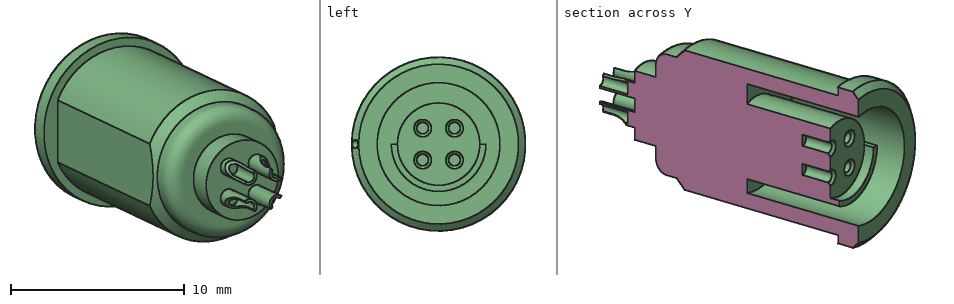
import cadquery as cq
import math

total_length = 18.5

flange_diameter = 10.0
flange_radius = flange_diameter / 2
flange_length = 1.48
flange_chamfer = 0.4
body_radius = 4.5
body_end = 12.43
width_across_flats = 8.2
collar_radius = 3.92
collar_end = 14.5
collar_fillet = 0.83
shoulder_end = body_end + body_radius - collar_radius

socket_radius = 3.53
socket_depth = 7.95

insert_radius = 2.37
insert_front = 2.0
insert_end = 16.0
key_radius = 2.72
key_front = 1.35

contact_pitch = 1.83
contact_radius = 0.5
contact_hole_radius = 0.33
contact_hole_depth = 2.0
contact_chamfer = contact_radius - contact_hole_radius
cup_radius = 0.33
cup_depth = 2.0
cup_flat_offset = -0.07
cup_flat_start = 17.8
cup_arc_radius = 1.9

dot_radius = 0.24


def cylinder(radius, start, end):
    """Round bar along X from start to end."""
    return cq.Workplane("YZ", origin=(start, 0, 0)).circle(radius).extrude(end - start)


def make_shell():
    flange = cylinder(flange_radius, 0, flange_length).faces("<X").chamfer(flange_chamfer)
    body = (
        cylinder(body_radius, 0, shoulder_end)
        .faces(">X")
        .chamfer(body_radius - collar_radius)
    )
    flats = cq.Workplane("XY").box(2 * total_length, width_across_flats, 2 * body_radius)
    collar = cylinder(collar_radius, body_end, collar_end).faces(">X").edges().fillet(collar_fillet)
    shell = flange.union(body.intersect(flats)).union(collar)
    return shell.cut(cylinder(socket_radius, 0, socket_depth))


def make_insert():
    insert = cylinder(insert_radius, insert_front, insert_end)
    key = cylinder(key_radius, key_front, socket_depth).cut(
        cylinder(insert_radius, key_front, socket_depth)
    )
    lower_half = (
        cq.Workplane("XY")
        .box(2 * total_length, 2 * key_radius, key_radius)
        .translate((0, 0, -key_radius / 2))
    )
    return insert.union(key.intersect(lower_half))


def make_contact_hole():
    """Socket hole with a countersunk mouth, on the X axis."""
    hole = cylinder(contact_hole_radius, insert_front, insert_front + contact_hole_depth)
    mouth = cq.Workplane(
        cq.Solid.makeCone(
            contact_radius,
            contact_hole_radius,
            contact_chamfer,
            cq.Vector(insert_front, 0, 0),
            cq.Vector(1, 0, 0),
        )
    )
    return hole.union(mouth)


def make_solder_cup():
    """Solder tail on the X axis, scooped open toward +Z."""
    tail = cylinder(contact_radius, collar_end, total_length)
    bore = cylinder(cup_radius, total_length - cup_depth, total_length)
    arc_center_z = cup_flat_offset + cup_arc_radius
    scoop = (
        cq.Workplane("XZ")
        .moveTo(cup_flat_start, cup_flat_offset)
        .lineTo(total_length, cup_flat_offset)
        .lineTo(total_length, arc_center_z)
        .lineTo(cup_flat_start - cup_arc_radius, arc_center_z)
        .radiusArc((cup_flat_start, cup_flat_offset), -cup_arc_radius)
        .close()
        .extrude(contact_radius, both=True)
    )
    return tail.cut(bore).cut(scoop)


result = make_shell().union(make_insert())

contact_circle = contact_pitch / math.sqrt(2)
contact_hole = make_contact_hole().translate((0, 0, contact_circle))
solder_cup = make_solder_cup().translate((0, 0, contact_circle))
for angle in (45, 135, 225, 315):
    result = result.cut(contact_hole.rotate((0, 0, 0), (1, 0, 0), angle))
    result = result.union(solder_cup.rotate((0, 0, 0), (1, 0, 0), angle))

dot_center = (flange_chamfer / 2, flange_radius - flange_chamfer / 2, 0)
result = result.cut(cq.Workplane("XY").sphere(dot_radius).translate(dot_center))